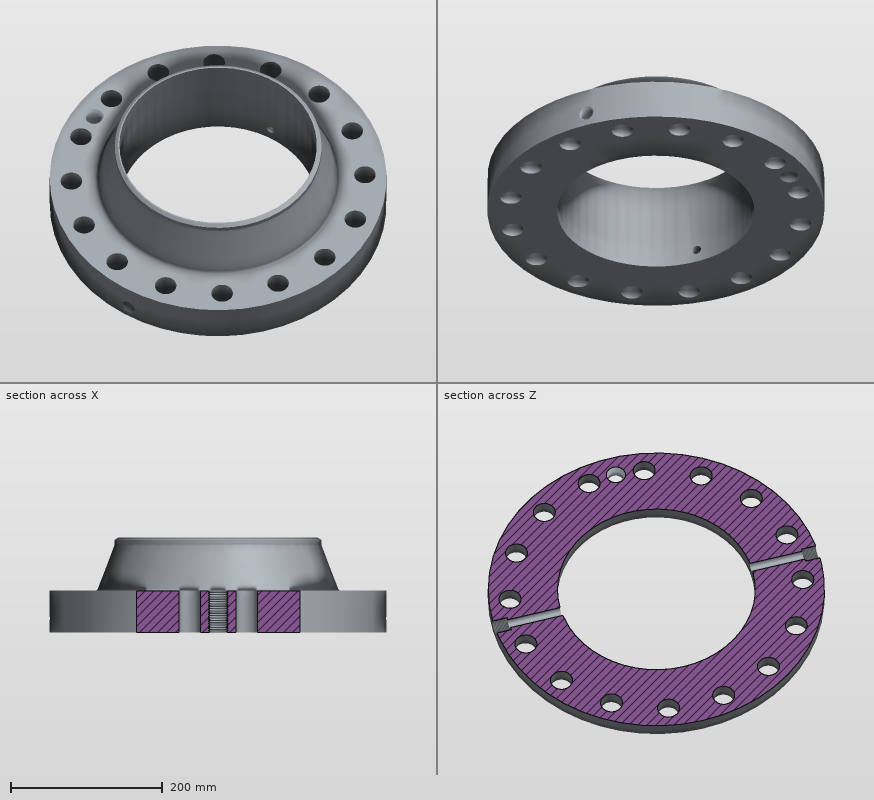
import cadquery as cq


flange_radius = 222.2
flange_thickness = 55.5
total_height = 125.5
bore_radius = 130.2
neck_radius = 136.5
hub_base_radius = 159.5
hub_fillet_radius = 4.0
neck_length = 9.5
weld_land_width = 2.0
weld_bevel_height = 3.0

bolt_count = 16
bolt_circle_radius = 194.0
bolt_hole_diameter = 28.5

jack_minor_radius = 10.5
jack_thread_depth = 2.0
jack_pitch = 3.15

tap_height = 18.5
tap_passage_radius = 6.2
tap_minor_radius = 9.0
tap_thread_depth = 1.55
tap_pitch = 1.82
tap_thread_length = 20.0
bore_overshoot = 4.5


def make_body():
    """Revolve the ring, tapered hub and bevelled neck around the pipe axis."""
    neck_start = total_height - neck_length
    bevel_start = total_height - weld_bevel_height
    body = (
        cq.Workplane("XZ")
        .moveTo(bore_radius, 0)
        .lineTo(flange_radius, 0)
        .lineTo(flange_radius, flange_thickness)
        .lineTo(hub_base_radius, flange_thickness)
        .lineTo(neck_radius, neck_start)
        .lineTo(neck_radius, bevel_start)
        .lineTo(bore_radius + weld_land_width, total_height)
        .lineTo(bore_radius, total_height)
        .close()
        .revolve(360, (0, 0, 0), (0, 1, 0))
    )
    hub_root = cq.selectors.RadiusNthSelector(-2)
    return body.edges("%CIRCLE").edges(hub_root).fillet(hub_fillet_radius)


def make_threaded_cutter(minor_radius, thread_depth, pitch, length):
    """Solid along +Z from the origin; its thread is a stack of V-shaped rings, open at both ends."""
    ring_count = round(length / pitch)
    ring_height = length / ring_count
    major_radius = minor_radius + thread_depth
    profile = cq.Workplane("XZ").lineTo(major_radius, 0)
    for ring in range(ring_count):
        ring_start = ring * ring_height
        profile = profile.lineTo(minor_radius, ring_start + ring_height / 2)
        profile = profile.lineTo(major_radius, ring_start + ring_height)
    return profile.lineTo(0, length).close().revolve(360, (0, 0, 0), (0, 1, 0))


def make_bolt_holes():
    half_step = 180 / bolt_count
    return (
        cq.Workplane("XY")
        .polarArray(bolt_circle_radius, half_step, 360, bolt_count)
        .circle(bolt_hole_diameter / 2)
        .extrude(flange_thickness)
    )


def make_jack_screw_hole():
    cutter = make_threaded_cutter(
        jack_minor_radius, jack_thread_depth, jack_pitch, flange_thickness
    )
    return cutter.translate((-bolt_circle_radius, 0, 0))


def make_pressure_tap():
    """Tap on the -Y side, running from the rim through to the bore."""
    socket = make_threaded_cutter(
        tap_minor_radius, tap_thread_depth, tap_pitch, tap_thread_length
    )
    passage_length = flange_radius - bore_radius + bore_overshoot
    passage = cq.Workplane("XY").circle(tap_passage_radius).extrude(passage_length)
    tap = socket.union(passage)
    return tap.rotate((0, 0, 0), (1, 0, 0), -90).translate((0, -flange_radius, tap_height))


result = make_body().cut(make_bolt_holes()).cut(make_jack_screw_hole())
front_tap = make_pressure_tap()
for tap_angle in (0, 180):
    result = result.cut(front_tap.rotate((0, 0, 0), (0, 0, 1), tap_angle))